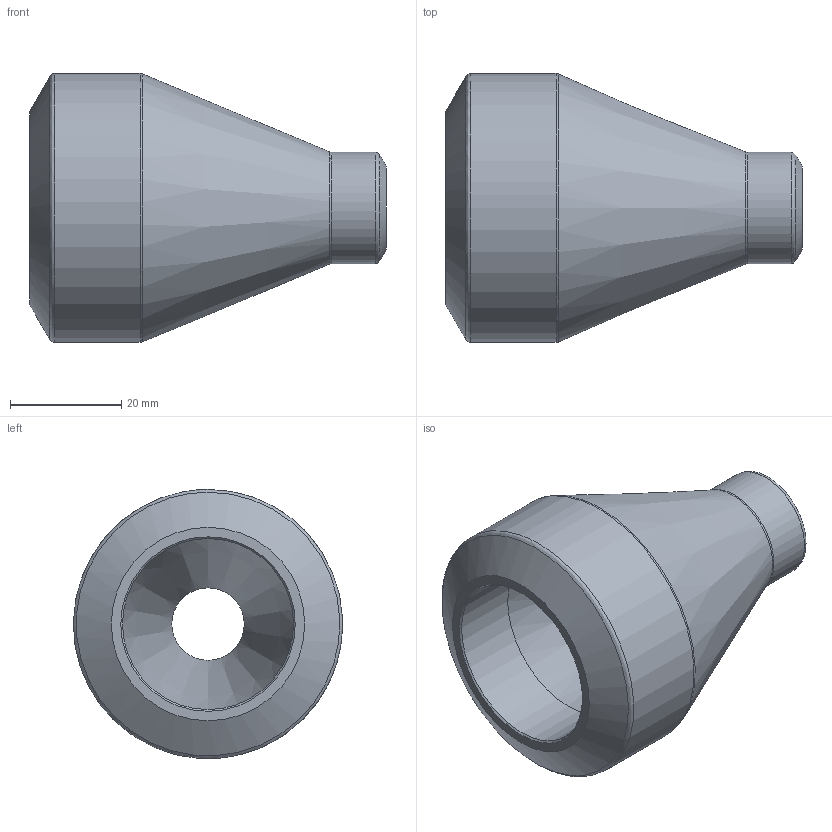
import cadquery as cq
import math

total_length = 64.0
large_end_length = 20.0
small_end_length = 10.0

large_outer_radius = 48.3 / 2
large_bore_radius = 30.7 / 2
small_outer_radius = 20.0 / 2
small_bore_radius = 13.0 / 2

large_bore_depth = 12.0
small_bore_depth = 18.0

mouth_chamfer = 0.3

large_land_width = 2.0
small_land_width = 1.0
bevel_angle = math.radians(30.0)

blend_radius = 1.0


def bevel_length(outer_radius, land_radius):
    """Axial length of a bevel that runs from the land out to the cylinder."""
    return (outer_radius - land_radius) * math.tan(bevel_angle)


def revolve_about_x(points):
    """Solid of revolution about X from (x, radius) points that start and end on the axis."""
    return cq.Workplane("XZ").polyline(points).close().revolve(360, (0, 0, 0), (1, 0, 0))


def circular_edges_at(stations):
    """Selector for the full circles whose planes sit at the given X stations."""
    half_band = 0.01
    reach = 2 * large_outer_radius
    selector = None
    for x in stations:
        band = cq.selectors.BoxSelector(
            (x - half_band, -reach, -reach),
            (x + half_band, reach, reach),
            boundingbox=True,
        )
        selector = band if selector is None else selector + band
    return selector


def outer_body():
    """Solid outside shape: bevelled cylinders joined by a cone, with rounded edges."""
    large_land_radius = large_bore_radius + large_land_width
    small_land_radius = small_bore_radius + small_land_width
    large_bevel_end = bevel_length(large_outer_radius, large_land_radius)
    small_bevel_start = total_length - bevel_length(small_outer_radius, small_land_radius)
    cone_start = large_end_length
    cone_end = total_length - small_end_length
    body = revolve_about_x([
        (0, 0),
        (0, large_land_radius),
        (large_bevel_end, large_outer_radius),
        (cone_start, large_outer_radius),
        (cone_end, small_outer_radius),
        (small_bevel_start, small_outer_radius),
        (total_length, small_land_radius),
        (total_length, 0),
    ])
    blended = circular_edges_at([large_bevel_end, cone_start, cone_end, small_bevel_start])
    return body.edges(blended).fillet(blend_radius)


def passage():
    """Through passage: chamfered large bore, cone, small bore."""
    return revolve_about_x([
        (0, 0),
        (0, large_bore_radius + mouth_chamfer),
        (mouth_chamfer, large_bore_radius),
        (large_bore_depth, large_bore_radius),
        (total_length - small_bore_depth, small_bore_radius),
        (total_length, small_bore_radius),
        (total_length, 0),
    ])


result = outer_body().cut(passage())